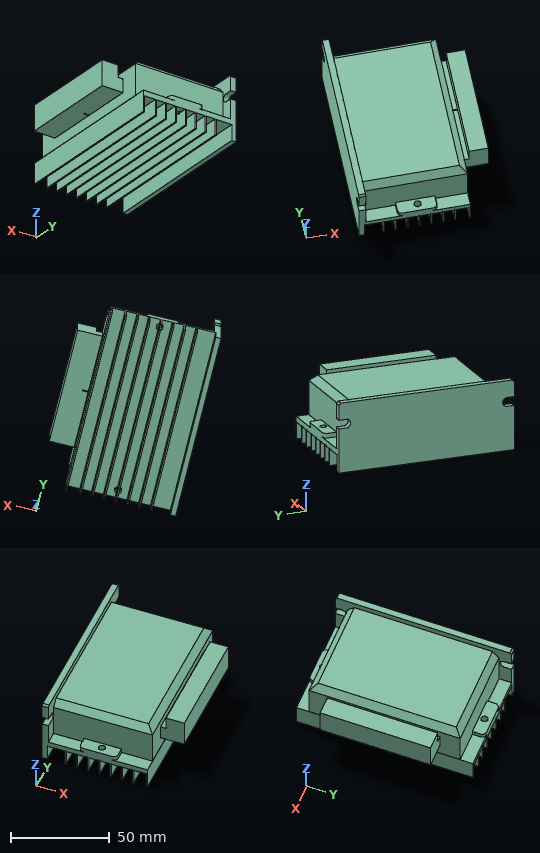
import cadquery as cq

length = 96.0
total_depth = 70.5
total_height = 37.5

base_depth = 57.6
base_bottom = 9.1
base_top = 12.2
plate_thickness = 3.6
foot_thickness = 2.9
plate_corner_chamfer = 1.0
fin_thickness = 0.8
fin_count = 7
fin_pitch = 6.1
first_fin_center = 12.9

slot_width = 4.6
slot_depth = 6.3
slot_center_height = 26.1

cover_end = 57.5
cover_top = 34.1
cover_side_margin = 6.9
cover_bevel = 3.6

tab_width = 20.4
tab_center = 30.4
tab_height = 2.5
tab_corner_radius = 2.4
hole_diameter = 3.5
hole_center = 31.1
hole_edge_distance = 4.0

connector_row_length = 60.0
connector_bottom = 18.6
connector_top = 33.6
neck_top = 26.4
connector_body_start = 60.5
neck_gap = 0.5


def block(x_start, x_end, width, z_start, z_end):
    """Box centred on Y, between the given X and Z limits."""
    return (
        cq.Workplane("XY", origin=(0, 0, z_start))
        .moveTo((x_start + x_end) / 2, 0)
        .rect(x_end - x_start, width)
        .extrude(z_end - z_start)
    )


def make_plate():
    """Mounting plate with chamfered top corners, open end slots and a thinner foot."""
    plate = block(0, plate_thickness, length, base_bottom, total_height)
    plate = plate.edges("|X and >Z").chamfer(plate_corner_chamfer)
    slot_length = 2 * slot_depth
    slots = (
        cq.Workplane("YZ")
        .pushPoints([(side * length / 2, slot_center_height) for side in (-1, 1)])
        .slot2D(slot_length, slot_width)
        .extrude(plate_thickness)
    )
    foot = block(0, foot_thickness, length, 0, base_bottom)
    return plate.cut(slots).union(foot)


def make_fins():
    """Evenly spaced fins plus one fin flush with the end of the base sheet."""
    fin_centers = [first_fin_center + i * fin_pitch for i in range(fin_count)]
    fin_centers.append(base_depth - fin_thickness / 2)
    return (
        cq.Workplane("XY")
        .pushPoints([(center, 0) for center in fin_centers])
        .rect(fin_thickness, length)
        .extrude(base_bottom)
    )


def make_cover():
    """Cover bevelled on its two sides and its far end, and square against the plate."""
    cover_width = length - 2 * cover_side_margin
    cover = block(plate_thickness, cover_end, cover_width, base_top, cover_top)
    return cover.faces(">Z").edges(">X or >Y or <Y").chamfer(cover_bevel)


def make_tabs():
    """Tabs reaching both ends of the base sheet, rounded at their outer corners."""
    tab_start = tab_center - tab_width / 2
    tabs = block(tab_start, tab_start + tab_width, length, base_top, base_top + tab_height)
    return tabs.edges("|Z").fillet(tab_corner_radius)


def make_tab_holes():
    """Holes through the tabs and the base sheet, stopping above the fins."""
    hole_y = length / 2 - hole_edge_distance
    return (
        cq.Workplane("XY", origin=(0, 0, base_bottom))
        .pushPoints([(hole_center, side * hole_y) for side in (-1, 1)])
        .circle(hole_diameter / 2)
        .extrude(base_top + tab_height - base_bottom)
    )


def make_connectors():
    """Row of two abutting connectors whose lower necks are separated by a thin gap."""
    bodies = block(
        connector_body_start, total_depth, connector_row_length, connector_bottom, connector_top
    )
    necks = block(cover_end, connector_body_start, connector_row_length, connector_bottom, neck_top)
    gap = block(cover_end, connector_body_start, neck_gap, connector_bottom, neck_top)
    return bodies.union(necks.cut(gap))


base = block(0, base_depth, length, base_bottom, base_top)
result = (
    base.union(make_plate())
    .union(make_fins())
    .union(make_cover())
    .union(make_tabs())
    .cut(make_tab_holes())
    .union(make_connectors())
)